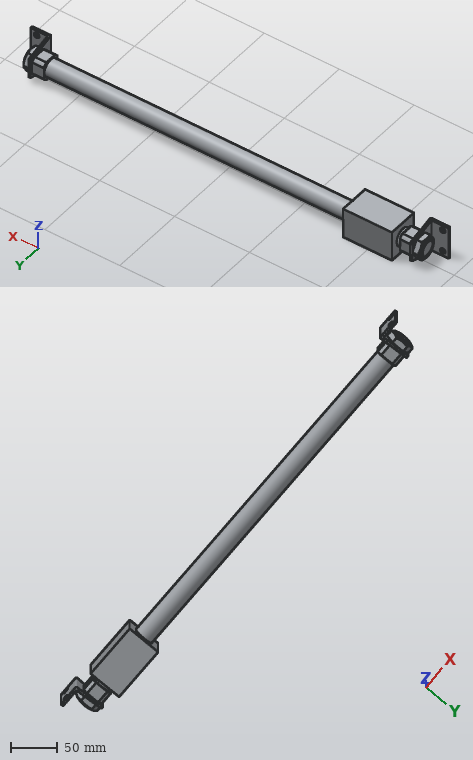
import cadquery as cq
import math

LENGTH = 558.0
DEPTH = 43.0
BRACKET_HEIGHT = 43.0

SLIDER_SIZE = 40.0
SLIDER_LENGTH = 65.5
SLIDER_START_X = -232.5

TUBE_DIAMETER = 23.0
COVER_WIDTH = 25.0
COVER_DIAMETER = 29.5
COVER_LENGTH = 15.5
NOSE_DIAMETER = 20.0
NOSE_TIP_DIAMETER = 18.5

PLATE = 3.0
FOOT_LENGTH = 25.5
LEG_REACH = 15.0
BEND_RADIUS = 1.3
LEG_TIP_WIDTH = 24.5
SCREW_HOLE_DIAMETER = 6.5
SCREW_HOLE_INSET = 8.0
SCREW_HOLE_SPACING = 29.5

NUT_SIDES = 6
NUT_WIDTH = 26.0
NUT_THICKNESS = 8.5
NUT_CHAMFER_ANGLE = 30.0
NUT_FACE_DIAMETER = 25.0
NOSE_PROTRUSION = 1.0

BACK_Y = DEPTH / 2
FRONT_Y = -DEPTH / 2
AXIS_Y = BACK_Y - SLIDER_SIZE / 2
END_X = LENGTH / 2
LEG_INNER_X = END_X - FOOT_LENGTH
LEG_OUTER_X = LEG_INNER_X + PLATE
COVER_INNER_X = LEG_INNER_X - COVER_LENGTH
NUT_END_X = LEG_OUTER_X + NUT_THICKNESS
NOSE_END_X = NUT_END_X + NOSE_PROTRUSION


def axis_plane(x):
    """Plane across the cylinder axis at x: local x is +Y, local y is +Z, extrusion goes +X."""
    return cq.Workplane(cq.Plane(origin=(x, AXIS_Y, 0), xDir=(0, 1, 0), normal=(1, 0, 0)))


def rod(diameter, start_x, end_x):
    """Round bar on the cylinder axis."""
    return axis_plane(start_x).circle(diameter / 2).extrude(end_x - start_x)


def on_side(shape, side):
    """The +X end part itself for side 1, its mirror image for side -1."""
    return shape if side > 0 else shape.mirror("YZ")


def make_cover():
    """+X end cover: a square block with round corners, and a nose that passes the bracket and nut."""
    square = axis_plane(COVER_INNER_X).rect(COVER_WIDTH, COVER_WIDTH).extrude(COVER_LENGTH)
    block = square.intersect(rod(COVER_DIAMETER, COVER_INNER_X, LEG_INNER_X))
    tip_chamfer = (NOSE_DIAMETER - NOSE_TIP_DIAMETER) / 2
    nose = rod(NOSE_DIAMETER, LEG_INNER_X, NOSE_END_X).faces(">X").chamfer(tip_chamfer)
    return block.union(nose)


def make_cylinder():
    """Tube with a cover at each end."""
    cylinder = rod(TUBE_DIAMETER, -COVER_INNER_X, COVER_INNER_X)
    cover = make_cover()
    for side in (-1, 1):
        cylinder = cylinder.union(on_side(cover, side))
    return cylinder


def make_slider():
    """Square block that the tube passes through."""
    block = axis_plane(SLIDER_START_X).rect(SLIDER_SIZE, SLIDER_SIZE).extrude(SLIDER_LENGTH)
    return block.cut(rod(TUBE_DIAMETER, SLIDER_START_X, SLIDER_START_X + SLIDER_LENGTH))


def make_bracket(side):
    """Angle bracket with a rounded bend: a foot with screw holes, a tapered leg with a nose hole."""
    foot = cq.Workplane("XY").box(FOOT_LENGTH, PLATE, BRACKET_HEIGHT, centered=(False, False, True))
    foot = foot.translate((LEG_INNER_X, FRONT_Y, 0))
    hole_x = END_X - SCREW_HOLE_INSET
    for hole_z in (-SCREW_HOLE_SPACING / 2, SCREW_HOLE_SPACING / 2):
        plane = cq.Plane(origin=(hole_x, FRONT_Y, hole_z), normal=(0, 1, 0))
        foot = foot.cut(cq.Workplane(plane).circle(SCREW_HOLE_DIAMETER / 2).extrude(PLATE))

    root_y = FRONT_Y - AXIS_Y + PLATE
    root_z = BRACKET_HEIGHT / 2
    tip_z = LEG_TIP_WIDTH / 2
    leg_outline = [(root_y, -root_z), (LEG_REACH, -tip_z), (LEG_REACH, tip_z), (root_y, root_z)]
    leg = axis_plane(LEG_INNER_X).polyline(leg_outline).close().extrude(PLATE)
    leg = leg.cut(rod(NOSE_DIAMETER, LEG_INNER_X, LEG_OUTER_X))
    bracket = foot.union(leg)
    corner = cq.selectors.NearestToPointSelector((LEG_INNER_X, FRONT_Y, 0))
    bracket = bracket.edges(corner).fillet(BEND_RADIUS)
    return on_side(bracket, side)


def make_nut(side):
    """Hexagon nut with corners along Y and a conical chamfer on its outer end."""
    corner_diameter = NUT_WIDTH / math.cos(math.pi / NUT_SIDES)
    hexagon = axis_plane(LEG_OUTER_X).polygon(NUT_SIDES, corner_diameter).extrude(NUT_THICKNESS)

    corner_radius = corner_diameter / 2
    face_radius = NUT_FACE_DIAMETER / 2
    chamfer_depth = (corner_radius - face_radius) * math.tan(math.radians(NUT_CHAMFER_ANGLE))
    profile = [
        (LEG_OUTER_X, 0),
        (LEG_OUTER_X, corner_radius),
        (NUT_END_X - chamfer_depth, corner_radius),
        (NUT_END_X, face_radius),
        (NUT_END_X, 0),
    ]
    cone = cq.Workplane("XY").polyline(profile).close().revolve(360, (0, 0, 0), (1, 0, 0))
    nut = hexagon.intersect(cone.translate((0, AXIS_Y, 0)))
    return on_side(nut.cut(rod(NOSE_DIAMETER, LEG_OUTER_X, NUT_END_X)), side)


cylinder = make_cylinder()
slider = make_slider()
brackets = [make_bracket(side).val() for side in (-1, 1)]
nuts = [make_nut(side).val() for side in (-1, 1)]

result = cq.Compound.makeCompound([cylinder.val(), slider.val(), *brackets, *nuts])